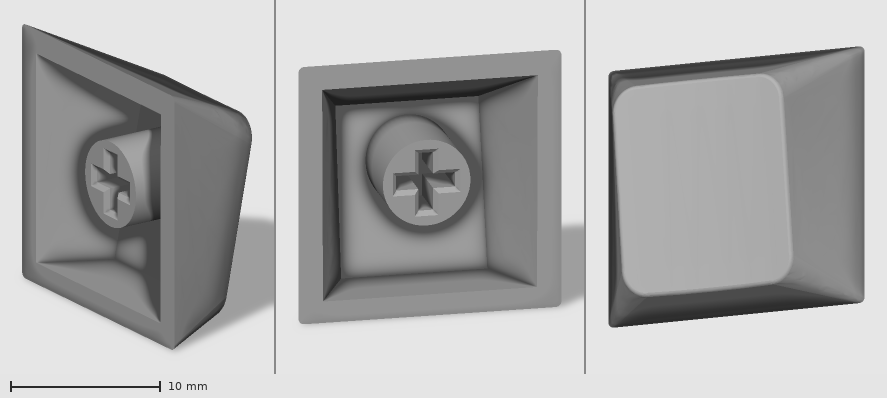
import cadquery as cq
import math

base_size = 18.0
base_corner_radius = 0.4

rim_upper_y = 8.75
rim_upper_z = 4.79
rim_lower_y = 6.05
rim_lower_z = -base_size / 2
rim_width = 11.88
rim_corner_radius = 1.8
dish_depth = 0.43
rim_fillet = 0.27

mouth_upper_width = 14.76
mouth_lower_width = 14.65
mouth_upper_z = 7.3
cavity_lower_z = -7.5
floor_upper_z = 3.89
floor_lower_y = 4.73
floor_upper_width = 9.8
floor_lower_width = 10.0

stem_diameter = 6.0
stem_face_y = 0.99
cross_length = 4.65
cross_width = 1.62
cross_chamfer = 0.3
cross_depth = 3.6

top_run = rim_upper_z - rim_lower_z
top_slope = (rim_upper_y - rim_lower_y) / top_run
top_length = math.hypot(top_run, rim_upper_y - rim_lower_y)
top_normal = (0, 1, -top_slope)
top_center = (0, (rim_upper_y + rim_lower_y) / 2, (rim_upper_z + rim_lower_z) / 2)
top_plane = cq.Plane(origin=top_center, xDir=(1, 0, 0), normal=top_normal)


def rounded_wire(plane, width, length, radius):
    """Rounded rectangle centred on a plane."""
    slab = cq.Workplane(plane).rect(width, length).extrude(0.18)
    slab = slab.edges(cq.selectors.ParallelDirSelector(plane.zDir)).fillet(radius)
    return slab.faces(cq.selectors.NearestToPointSelector(plane.origin.toTuple())).val().outerWire()


def facing_plane(y):
    """Plane across the part at height y, looking along +Y."""
    return cq.Plane(origin=(0, y, 0), xDir=(1, 0, 0), normal=(0, 1, 0))


def make_body():
    """Solid cap drawn from the square base to the smaller tilted top."""
    base = rounded_wire(facing_plane(0), base_size, base_size, base_corner_radius)
    top = rounded_wire(top_plane, rim_width, top_length, rim_corner_radius)
    return cq.Workplane(cq.Solid.makeLoft([base, top], True))


def make_dish():
    """Cylinder lying along the tilted top, touching the rim at its sides."""
    half_width = rim_width / 2
    radius = (half_width**2 + dish_depth**2) / (2 * dish_depth)
    axis_plane = cq.Plane(origin=top_center, xDir=(1, 0, 0), normal=(0, top_slope, 1))
    return (
        cq.Workplane(axis_plane)
        .center(0, radius - dish_depth)
        .circle(radius)
        .extrude(top_length, both=True)
    )


def make_cavity():
    """Tapered hollow whose side walls twist slightly from mouth to floor."""
    floor_upper_y = floor_lower_y + top_slope * (floor_upper_z - cavity_lower_z)

    def outline(lower_width, upper_width, lower_y, upper_y, upper_z):
        half_lower = lower_width / 2
        half_upper = upper_width / 2
        corners = [
            (-half_lower, lower_y, cavity_lower_z),
            (half_lower, lower_y, cavity_lower_z),
            (half_upper, upper_y, upper_z),
            (-half_upper, upper_y, upper_z),
        ]
        return cq.Wire.makePolygon([cq.Vector(*corner) for corner in corners], close=True)

    mouth = outline(mouth_lower_width, mouth_upper_width, 0, 0, mouth_upper_z)
    floor = outline(floor_lower_width, floor_upper_width, floor_lower_y, floor_upper_y, floor_upper_z)
    return cq.Workplane(cq.Solid.makeLoft([mouth, floor], True))


def make_stem():
    """Round post reaching past the cavity floor into the tilted top."""
    length = (rim_lower_y + rim_upper_y) / 2 - stem_face_y
    return cq.Workplane(facing_plane(stem_face_y)).circle(stem_diameter / 2).extrude(length)


def make_cross():
    """Straight cross socket with a chamfered lead-in."""
    def cross(grow, depth, taper):
        workplane = cq.Workplane(facing_plane(stem_face_y))
        length = cross_length + grow
        width = cross_width + grow
        across = workplane.rect(length, width).extrude(depth, taper=taper)
        upright = workplane.rect(width, length).extrude(depth, taper=taper)
        return across.union(upright)

    socket = cross(-2 * cross_chamfer, cross_depth, 0)
    lead_in = cross(0, cross_chamfer, 45)
    return socket.union(lead_in)


shell = make_body().cut(make_dish())
dish_face = shell.faces(cq.selectors.NearestToPointSelector(top_center))
shell = shell.newObject(dish_face.edges().vals()).fillet(rim_fillet)
stem = make_stem().intersect(shell)
result = shell.cut(make_cavity()).union(stem).cut(make_cross())